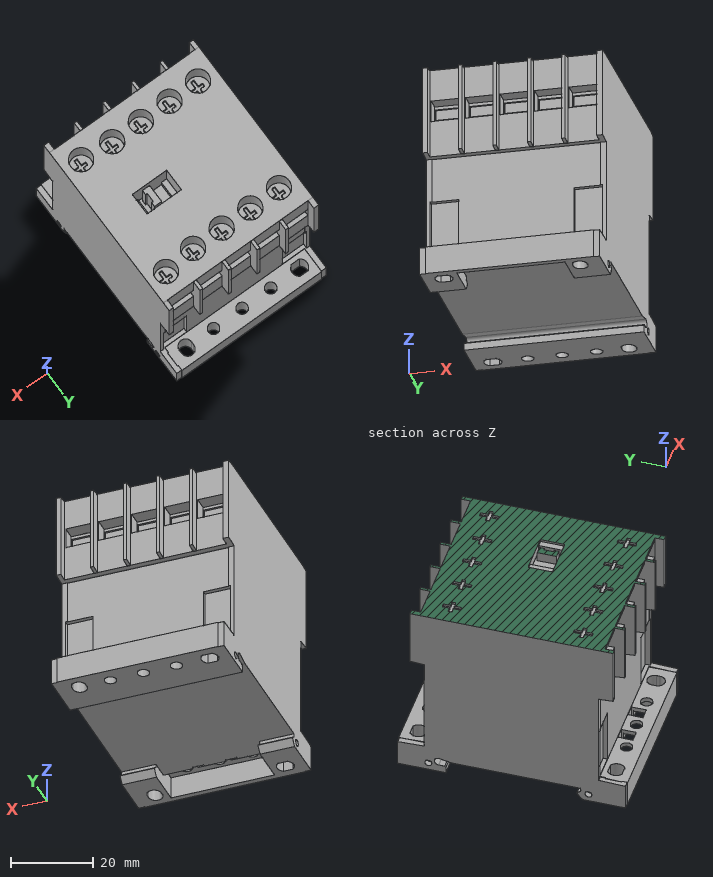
import cadquery as cq


WIDTH = 45.0
FOOT_DEPTH = 58.0
HEIGHT = 56.69

HEAD_INSET = 0.25
FOOT_INSET = 0.15
RIB_HALF = 26.0
TOP_HALF = 23.4
WAIST_HALF = 22.1
FOOT_HALF = FOOT_DEPTH / 2
HEAD_HALF = RIB_HALF - HEAD_INSET
DRAFT_DROP = 0.25
HEAD_BOTTOM = 33.55
FOOT_TOP = 7.3
FOOT_BLOCK_TOP = 7.1

SEAT_Z = 3.5
LATCH_Y = -17.5
LATCH_STEP_Z = 2.6
LATCH_TIP_Y = -16.5
LATCH_TIP_Z = 1.75
LATCH_FOOT_Y = -17.9
HOOK_LIP_Y = 16.56
HOOK_LIP_Z = 2.1
HOOK_LIP_CHAMFER = 0.3
HOOK_SLOT_RADIUS = 1.07
HOOK_CENTRE_Y = 18.4
HOOK_RAMP_END_Y = 14.9

WALL = 1.5
HEAD_WALL_THIN = 1.25
PANEL_INSET = 0.2
PATCH_WIDTH = 7.1
PATCH_OUTER_X = 21.5
PATCH_TOP = 22.2
PATCH_DEPTH = 1.1
PATCH_BOTTOM = FOOT_TOP

POLES = 5
PITCH = 8.6
RIB_WIDTH = 0.87
FIRST_RIB_X = -13.03
RIB_DROP = 0.2
WINDOW_BOTTOM = 43.05
WINDOW_TOP = 48.5
WINDOW_DEPTH = 3.6
WINDOW_LEFT_GAP = 0.3
ENTRY_BOTTOM = 44.9
ENTRY_TOP = 47.7
ENTRY_DEPTH = 0.5
ENTRY_LEFT_GAP = 0.2

SCREW_Y = 16.6
COIL_SCREW_Y = 17.4
COIL_SCREW_X = 17.35
WELL_DIAMETER = 6.1
WELL_DEPTH = 7.0
CROSS_WIDTH = 0.85
CROSS_X_LENGTH = 3.3
CROSS_Y_LENGTH = 4.6
CROSS_DEPTH = 1.0

INDICATOR_X0 = 2.17
INDICATOR_X1 = 12.5
INDICATOR_WIDTH = 6.05
INDICATOR_DEPTH = 8.0
INDICATOR_LEDGE = 1.6
INDICATOR_FLOOR_DEPTH = 10.0
SLIDER_X0 = 7.7
SLIDER_X1 = 9.85
SLIDER_WIDTH = 5.0
SLIDER_DROP = 0.5
SLIDER_NOTCH_DEPTH = 0.5
SLIDER_NOTCH_WIDTH = 2.4

FOOT_HOLE_Y = 25.0
FOOT_HOLE_DIAMETER = 3.0
SLOT_WIDTH = 3.6
FLATTED_HOLE_X = -17.3
FLATTED_HOLE_DIAMETER = 4.35
LONG_SLOT_X = 16.7
LONG_SLOT_LENGTH = 4.5
NOTCH_WIDTH = 2.9
NOTCH_OUTER_Y = -25.75
NOTCH_INNER_Y = -22.0

HOLLOW_HALF_WIDTH = 13.5
HOLLOW_OUTER_Y = -27.5
HOLLOW_INNER_Y = -22.5
HOLLOW_PLATE = 1.2
HOLLOW_TOP = FOOT_BLOCK_TOP - HOLLOW_PLATE

SIDE_HOLE_DIAMETER = 1.7
SIDE_HOLE_DEPTH = WALL
SIDE_HOLE_Z = 2.1
SIDE_HOLE_Y = (21.0, -19.5)


def block(x0, x1, y0, y1, z0, z1):
    """Box between two opposite corners."""
    return cq.Workplane("XY").box(x1 - x0, y1 - y0, z1 - z0, centered=False).translate((x0, y0, z0))


def rear(shape):
    """Half-turn copy of a front feature, on the rear."""
    return shape.rotate((0, 0, 0), (0, 0, 1), 180)


def make_side_outline_body():
    """Full-width body with the outline of the side walls and the rail seat."""
    foot_end = FOOT_HALF - FOOT_INSET
    hook_z = HOOK_LIP_Z + HOOK_SLOT_RADIUS
    outline = (
        cq.Workplane("YZ")
        .moveTo(-foot_end, 0)
        .lineTo(LATCH_FOOT_Y, 0)
        .lineTo(LATCH_TIP_Y, LATCH_TIP_Z)
        .lineTo(LATCH_Y, LATCH_STEP_Z)
        .lineTo(LATCH_Y, SEAT_Z)
        .lineTo(HOOK_RAMP_END_Y, SEAT_Z)
        .lineTo(HOOK_CENTRE_Y, hook_z + HOOK_SLOT_RADIUS)
        .threePointArc((HOOK_CENTRE_Y + HOOK_SLOT_RADIUS, hook_z), (HOOK_CENTRE_Y, HOOK_LIP_Z))
        .lineTo(HOOK_LIP_Y + HOOK_LIP_CHAMFER, HOOK_LIP_Z)
        .lineTo(HOOK_LIP_Y, HOOK_LIP_Z - HOOK_LIP_CHAMFER)
        .lineTo(HOOK_LIP_Y, 0)
        .lineTo(foot_end, 0)
        .lineTo(foot_end, FOOT_TOP - DRAFT_DROP)
        .lineTo(WAIST_HALF, FOOT_TOP)
        .lineTo(WAIST_HALF, HEAD_BOTTOM)
        .lineTo(HEAD_HALF, HEAD_BOTTOM + DRAFT_DROP)
        .lineTo(HEAD_HALF, HEIGHT - DRAFT_DROP)
        .lineTo(TOP_HALF, HEIGHT)
        .lineTo(-TOP_HALF, HEIGHT)
        .lineTo(-HEAD_HALF, HEIGHT - DRAFT_DROP)
        .lineTo(-HEAD_HALF, HEAD_BOTTOM + DRAFT_DROP)
        .lineTo(-WAIST_HALF, HEAD_BOTTOM)
        .lineTo(-WAIST_HALF, FOOT_TOP)
        .lineTo(-foot_end, FOOT_TOP - DRAFT_DROP)
        .close()
    )
    return outline.extrude(WIDTH / 2, both=True)


def make_foot_block():
    """Front foot block between the side walls."""
    half = WIDTH / 2 - WALL
    return block(-half, half, -FOOT_HALF, -WAIST_HALF, 0, FOOT_BLOCK_TOP)


def make_waist_recess():
    """Recessed front panel of the waist with a deeper patch at each lower corner."""
    half = WIDTH / 2 - WALL
    panel_y = -WAIST_HALF + PANEL_INSET
    recess = block(-half, half, -FOOT_HALF, panel_y, FOOT_BLOCK_TOP, HEAD_BOTTOM)
    for x0 in (-PATCH_OUTER_X, PATCH_OUTER_X - PATCH_WIDTH):
        patch = block(x0, x0 + PATCH_WIDTH, -WAIST_HALF, panel_y + PATCH_DEPTH, PATCH_BOTTOM, PATCH_TOP)
        recess = recess.union(patch)
    return recess


def make_terminal_recess():
    """Open space of the front terminal row between the two side walls."""
    left = -WIDTH / 2 + HEAD_WALL_THIN
    right = WIDTH / 2 - WALL
    return block(left, right, -FOOT_HALF, -TOP_HALF, FOOT_BLOCK_TOP, HEIGHT)


def make_ribs():
    """Separating ribs between the poles of the front terminal row."""
    outline = (
        cq.Workplane("YZ")
        .moveTo(-TOP_HALF, HEAD_BOTTOM)
        .lineTo(-RIB_HALF, HEAD_BOTTOM + DRAFT_DROP)
        .lineTo(-RIB_HALF, HEIGHT - RIB_DROP - DRAFT_DROP)
        .lineTo(-TOP_HALF, HEIGHT - RIB_DROP)
        .close()
        .extrude(RIB_WIDTH / 2, both=True)
    )
    ribs = cq.Workplane("XY")
    for i in range(POLES - 1):
        ribs = ribs.union(outline.translate((FIRST_RIB_X + i * PITCH, 0, 0)))
    return ribs


def make_wire_windows():
    """Wire windows of the front terminal row, each with a deeper entry."""
    windows = cq.Workplane("XY")
    window_back = -TOP_HALF + WINDOW_DEPTH
    for i in range(POLES):
        rib_x = FIRST_RIB_X + i * PITCH
        right = rib_x - RIB_WIDTH / 2
        left = right - PITCH + RIB_WIDTH + WINDOW_LEFT_GAP
        entry_left = left + ENTRY_LEFT_GAP
        window = block(left, right, -TOP_HALF, window_back, WINDOW_BOTTOM, WINDOW_TOP)
        entry = block(entry_left, right, window_back, window_back + ENTRY_DEPTH, ENTRY_BOTTOM, ENTRY_TOP)
        windows = windows.union(window).union(entry)
    return windows


def make_screw_well():
    """Round well with a cross recess in its floor, centred on the Z axis."""
    floor = HEIGHT - WELL_DEPTH
    well = cq.Workplane("XY").workplane(offset=floor).circle(WELL_DIAMETER / 2).extrude(WELL_DEPTH)
    for length_x, length_y in ((CROSS_X_LENGTH, CROSS_WIDTH), (CROSS_WIDTH, CROSS_Y_LENGTH)):
        bar = cq.Workplane("XY").workplane(offset=floor - CROSS_DEPTH).rect(length_x, length_y)
        well = well.union(bar.extrude(CROSS_DEPTH))
    return well


def make_screw_wells():
    """Two rows of screw wells, mirrored front to rear."""
    places = [((i - POLES // 2) * PITCH, SCREW_Y) for i in range(POLES - 1)]
    places.append((COIL_SCREW_X, COIL_SCREW_Y))
    well = make_screw_well()
    wells = cq.Workplane("XY")
    for x, y in places:
        for side in (-1, 1):
            wells = wells.union(well.translate((x, side * y, 0)))
    return wells


def make_indicator_pocket():
    """Stepped pocket in the top, leaving the notched slider standing."""
    half = INDICATOR_WIDTH / 2
    ledge_z = HEIGHT - INDICATOR_DEPTH
    floor_z = HEIGHT - INDICATOR_FLOOR_DEPTH
    pocket = block(INDICATOR_X0, INDICATOR_X1, -half, half, ledge_z, HEIGHT)
    well_x0 = INDICATOR_X0 + INDICATOR_LEDGE
    well_x1 = INDICATOR_X1 - INDICATOR_LEDGE
    well = block(well_x0, well_x1, -half, half, floor_z, ledge_z)
    slider_top = HEIGHT - SLIDER_DROP
    slider = block(SLIDER_X0, SLIDER_X1, -SLIDER_WIDTH / 2, SLIDER_WIDTH / 2, floor_z, slider_top)
    notch_half = SLIDER_NOTCH_WIDTH / 2
    notch = block(SLIDER_X1 - SLIDER_NOTCH_DEPTH, SLIDER_X1, -notch_half, notch_half, floor_z, slider_top)
    return pocket.union(well).cut(slider.cut(notch))


def make_foot_holes():
    """Round holes, a flatted hole and a mounting slot through each foot."""
    holes = cq.Workplane("XY")
    for y in (-FOOT_HOLE_Y, FOOT_HOLE_Y):
        round_places = [(i * PITCH, y) for i in (-1, 0, 1)]
        rounds = cq.Workplane("XY").pushPoints(round_places).circle(FOOT_HOLE_DIAMETER / 2)
        flats = cq.Workplane("XY").center(FLATTED_HOLE_X, y).rect(FLATTED_HOLE_DIAMETER, SLOT_WIDTH)
        full_round = cq.Workplane("XY").center(FLATTED_HOLE_X, y).circle(FLATTED_HOLE_DIAMETER / 2)
        long_slot = cq.Workplane("XY").center(LONG_SLOT_X, y).slot2D(LONG_SLOT_LENGTH, SLOT_WIDTH, 90)
        flatted_hole = full_round.extrude(FOOT_TOP).intersect(flats.extrude(FOOT_TOP))
        holes = holes.union(rounds.extrude(FOOT_TOP)).union(flatted_hole).union(long_slot.extrude(FOOT_TOP))
    return holes


def make_foot_notches():
    """Two rectangular openings between the round holes of the front foot."""
    notches = cq.Workplane("XY")
    for x in (-PITCH / 2, PITCH / 2):
        half = NOTCH_WIDTH / 2
        notches = notches.union(block(x - half, x + half, NOTCH_OUTER_Y, NOTCH_INNER_Y, 0, FOOT_BLOCK_TOP))
    return notches


def make_foot_hollow():
    """Hollow under the front foot, open to the rail seat."""
    half = HOLLOW_HALF_WIDTH
    under_foot = block(-half, half, HOLLOW_OUTER_Y, HOLLOW_INNER_Y, 0, HOLLOW_TOP)
    under_body = block(-half, half, HOLLOW_INNER_Y, LATCH_TIP_Y, 0, SEAT_Z)
    return under_foot.union(under_body)


def make_side_holes():
    """Small blind holes in both side walls near the rail seat."""
    holes = cq.Workplane("XY")
    for y in SIDE_HOLE_Y:
        outline = cq.Workplane("YZ").center(y, SIDE_HOLE_Z).circle(SIDE_HOLE_DIAMETER / 2)
        hole = outline.extrude(SIDE_HOLE_DEPTH)
        for x in (-WIDTH / 2, WIDTH / 2 - SIDE_HOLE_DEPTH):
            holes = holes.union(hole.translate((x, 0, 0)))
    return holes


result = make_side_outline_body()
for recess in (make_waist_recess(), make_terminal_recess(), make_wire_windows()):
    result = result.cut(recess).cut(rear(recess))
for addition in (make_ribs(), make_foot_block()):
    result = result.union(addition).union(rear(addition))
result = result.cut(make_screw_wells())
result = result.cut(make_indicator_pocket())
result = result.cut(make_foot_holes())
result = result.cut(make_foot_notches())
result = result.cut(make_foot_hollow())
result = result.cut(make_side_holes())